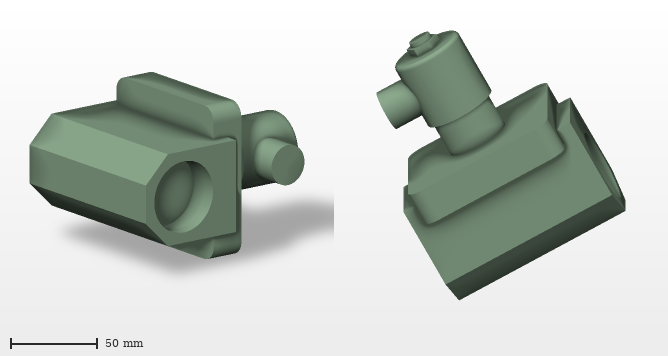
import cadquery as cq
import math

block_length = 110.0
block_height = 55.0
block_front_y = -block_height / 2
block_depth = 65.5
block_chamfer = 16.0

port_diameter = 42.8
port_depth = 18.5

flange_size = 92.0
flange_thickness = 20.2
flange_corner_radius = 9.0
flange_setback = 56.3
flange_front_y = block_front_y + flange_setback
flange_back_y = flange_front_y + flange_thickness

stem_diameter = 36.0
stem_length = 21.3

coil_diameter = 42.0
coil_length = 40.6
coil_rim_radius = 2.5
coil_front_y = flange_back_y + stem_length
coil_back_y = coil_front_y + coil_length

connector_diameter = 24.0
connector_reach = 37.7
connector_offset = 19.0
connector_y = coil_front_y + connector_offset

nut_sides = 6
nut_across_flats = 17.0
nut_across_corners = nut_across_flats / math.cos(math.pi / nut_sides)
nut_thickness = 4.6
nut_back_y = coil_back_y + nut_thickness

overall_depth = 145.88
stud_diameter = 13.2
stud_end_y = block_front_y + overall_depth


def cylinder_along_y(diameter, start_y, end_y):
    """Cylinder on the solenoid axis between two Y positions."""
    profile = cq.Workplane("XZ", origin=(0, start_y, 0))
    return profile.circle(diameter / 2).extrude(start_y - end_y)


def make_block():
    """Block with its two front edges chamfered."""
    block = cq.Workplane("XY").box(block_length, block_depth, block_height)
    block = block.faces("<Y").edges("|X").chamfer(block_chamfer)
    return block.translate((0, block_front_y + block_depth / 2, 0))


def make_flange():
    """Square plate with rounded corners that wraps the back of the block."""
    flange = cq.Workplane("XY").box(flange_size, flange_thickness, flange_size)
    flange = flange.edges("|Y").fillet(flange_corner_radius)
    return flange.translate((0, flange_front_y + flange_thickness / 2, 0))


def make_valve_body():
    """Block and flange in one piece, with a blind port in each end."""
    body = make_block().union(make_flange())
    for end in ("<X", ">X"):
        port_face = body.faces(end).workplane(origin=(0, 0, 0))
        body = port_face.circle(port_diameter / 2).cutBlind(-port_depth)
    return body


def make_nut():
    """Hexagonal nut with two flats facing up and down."""
    profile = cq.Workplane("XZ", origin=(0, coil_back_y, 0))
    return profile.polygon(nut_sides, nut_across_corners).extrude(-nut_thickness)


def make_connector():
    """Round side connector that runs from the coil axis toward +X."""
    profile = cq.Workplane("YZ", origin=(0, connector_y, 0))
    return profile.circle(connector_diameter / 2).extrude(connector_reach)


def make_solenoid():
    """Stem, coil with its side connector, nut and stud in one piece, seated on the flange."""
    coil = cylinder_along_y(coil_diameter, coil_front_y, coil_back_y)
    coil = coil.edges(">Y").fillet(coil_rim_radius)
    stem = cylinder_along_y(stem_diameter, flange_back_y, coil_front_y)
    stud = cylinder_along_y(stud_diameter, nut_back_y, stud_end_y)
    return coil.union(make_connector()).union(stem).union(make_nut()).union(stud)


valve_body = make_valve_body()
solenoid = make_solenoid()

result = cq.Compound.makeCompound([valve_body.val(), solenoid.val()])